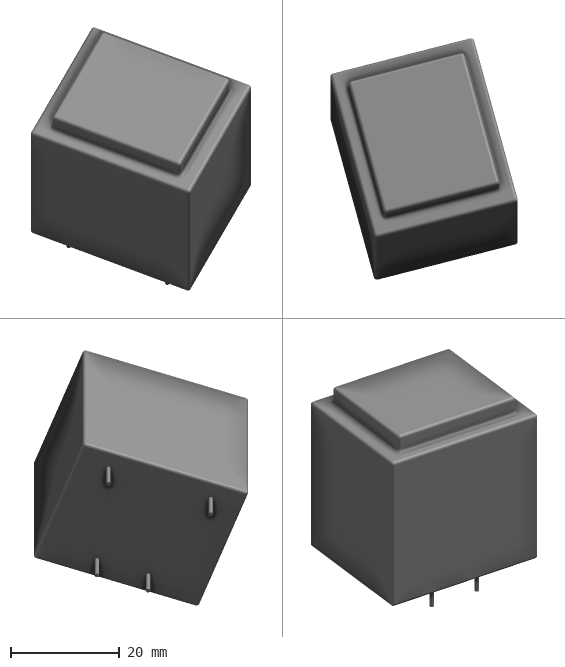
import cadquery as cq

total_height = 39.0
body_length = 32.3
body_width = 27.3
edge_radius = 0.6

lid_length = 25.9
lid_width = 21.95
lid_height = 3.4

pin_diameter = 0.8
pin_length = 5.0
pin_pitch = 5.0
pin_row_y = 2 * pin_pitch
front_row_x = 2 * pin_pitch
back_row_x = pin_pitch

body_height = total_height - lid_height - pin_length


def make_housing():
    """Rounded block with a smaller rounded lid, blended together at the lid's foot."""
    block = (
        cq.Workplane("XY")
        .box(body_length, body_width, body_height, centered=(True, True, False))
        .edges()
        .fillet(edge_radius)
    )
    lid_overlap = body_height / 2
    lid = (
        cq.Workplane("XY")
        .workplane(offset=body_height - lid_overlap)
        .box(lid_length, lid_width, lid_height + lid_overlap, centered=(True, True, False))
        .edges("|Z or >Z")
        .fillet(edge_radius)
    )
    half_length = lid_length / 2 + edge_radius / 2
    half_width = lid_width / 2 + edge_radius / 2
    foot_bottom = body_height - edge_radius / 2
    foot_top = body_height + edge_radius / 2
    lid_foot = cq.selectors.BoxSelector(
        (-half_length, -half_width, foot_bottom),
        (half_length, half_width, foot_top),
        boundingbox=True,
    )
    return block.union(lid).edges(lid_foot).fillet(edge_radius)


def make_pin(x, y):
    """Round pin hanging from the flat underside of the housing."""
    return cq.Workplane("XY").center(x, y).circle(pin_diameter / 2).extrude(-pin_length)


housing = make_housing()

pins = []
for row_x, row_y in ((front_row_x, -pin_row_y), (back_row_x, pin_row_y)):
    for side in (-1, 1):
        pins.append(make_pin(side * row_x, row_y).val())

result = cq.Compound.makeCompound([housing.val(), *pins])